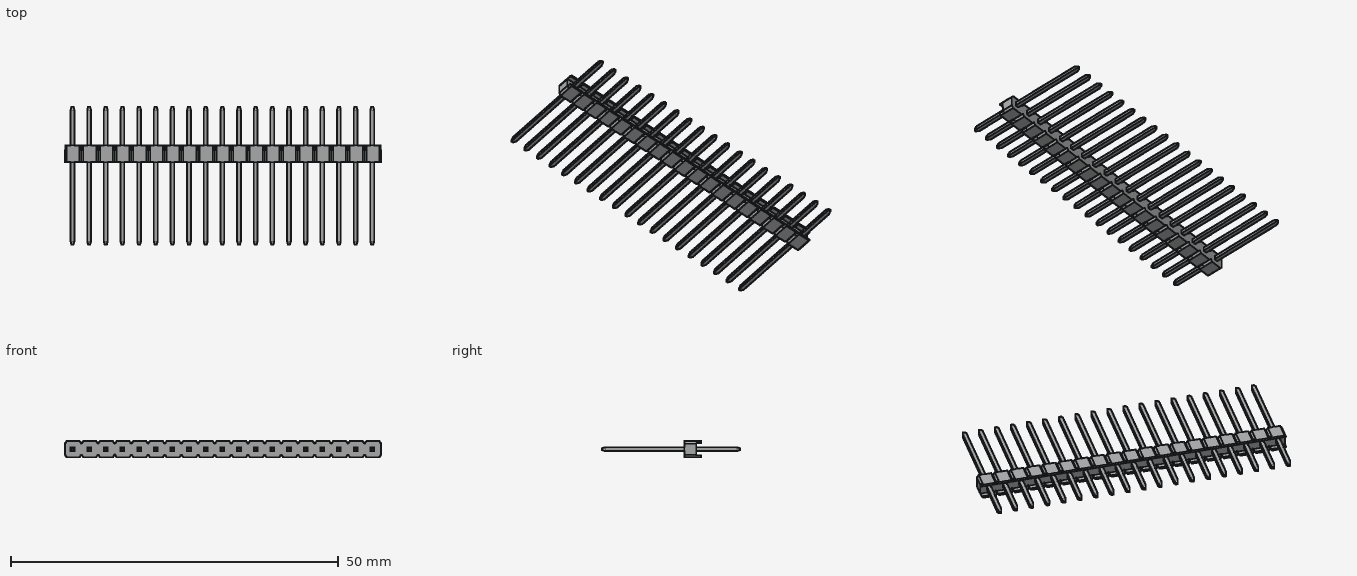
import cadquery as cq

pin_count = 19
body_length = 48.25
pitch = body_length / pin_count
pin_offset = -0.1

body_height = 2.5
body_depth = 2.55
chamfer_run = 0.3
chamfer_drop = 0.41
recess_depth = 0.7
lip_thickness = 0.35

pin_width = 0.65
overall_depth = 21.1
back_pin_length = 5.95
tip_length = 0.55
tip_width = 0.315

body_back = body_depth / 2
pin_back = body_back + back_pin_length
pin_front = pin_back - overall_depth


def cell_center(index):
    return (index - (pin_count - 1) / 2) * pitch


def make_body():
    """Chain of eight-sided cells, recessed at the back between two lips."""
    top = body_height / 2
    shoulder = top - chamfer_drop
    half_flat = pitch / 2 - chamfer_run
    upper_edge = [(-body_length / 2, shoulder)]
    for index in range(pin_count):
        center = cell_center(index)
        upper_edge.append((center - half_flat, top))
        upper_edge.append((center + half_flat, top))
        upper_edge.append((center + pitch / 2, shoulder))
    lower_edge = [(x, -z) for x, z in reversed(upper_edge)]
    body = (
        cq.Workplane("XZ", origin=(0, body_back, 0))
        .polyline(upper_edge + lower_edge)
        .close()
        .extrude(body_depth)
    )
    recess = cq.Workplane("XY").box(
        body_length, recess_depth, body_height - 2 * lip_thickness
    )
    return body.cut(recess.translate((0, body_back - recess_depth / 2, 0)))


def make_tip(base_y, direction):
    """Tapered square tip pointing along +Y (direction 1) or -Y (direction -1)."""
    plane = cq.Plane(origin=(0, base_y, 0), xDir=(1, 0, 0), normal=(0, direction, 0))
    return (
        cq.Workplane(plane)
        .rect(pin_width, pin_width)
        .workplane(offset=tip_length)
        .rect(tip_width, tip_width)
        .loft(ruled=True)
    )


def make_pin():
    shank_front = pin_front + tip_length
    shank_back = pin_back - tip_length
    shank = cq.Workplane("XY").box(pin_width, shank_back - shank_front, pin_width)
    shank = shank.translate((0, (shank_front + shank_back) / 2, 0))
    return shank.union(make_tip(shank_back, 1)).union(make_tip(shank_front, -1))


result = make_body()
pin = make_pin()
for pin_index in range(pin_count):
    result = result.union(pin.translate((cell_center(pin_index) + pin_offset, 0, 0)))